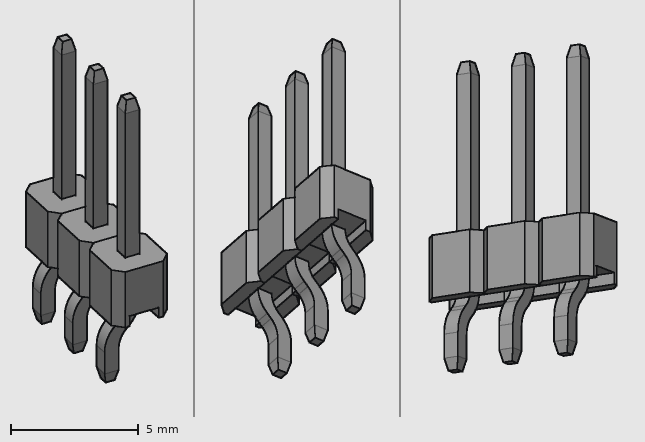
import cadquery as cq
import math

PIN_COUNT = 3
PITCH = 2.54

HOUSING_DEPTH = 2.5
HOUSING_HEIGHT = 2.54
CORNER_CHAMFER = 0.4
SLOT_WIDTH = 1.3
SLOT_HEIGHT = 0.47

OVERALL_HEIGHT = 12.64
PIN_WIDTH = 0.65
TAIL_LENGTH = 3.0
TIP_LENGTH = 0.5
TIP_END_WIDTH = 0.4

BEND_ANGLE = math.radians(45)
BEND_START_Z = SLOT_HEIGHT
BEND_END_Z = -1.52
OUTER_BEND_RADIUS = 1.45

HALF_PIN = PIN_WIDTH / 2
TOP_TIP_BASE_Z = OVERALL_HEIGHT - TAIL_LENGTH - TIP_LENGTH
BOTTOM_TIP_BASE_Z = TIP_LENGTH - TAIL_LENGTH
TAIL_Y = HALF_PIN - HOUSING_DEPTH / 2

SLOPE_DROP = abs(TAIL_Y) / math.tan(BEND_ANGLE)
TANGENT_SUM = BEND_START_Z - BEND_END_Z - SLOPE_DROP
INNER_BEND_RADIUS = TANGENT_SUM / math.tan(BEND_ANGLE / 2) - OUTER_BEND_RADIUS


def make_housing(x):
    """Octagonal block with a slot along X in its underside and a through hole for the pin."""
    block = (
        cq.Workplane("XY")
        .rect(PITCH, HOUSING_DEPTH)
        .extrude(HOUSING_HEIGHT)
        .edges("|Z")
        .chamfer(CORNER_CHAMFER)
    )
    slot = cq.Workplane("XY").rect(PITCH, SLOT_WIDTH).extrude(SLOT_HEIGHT)
    pin_hole = cq.Workplane("XY").rect(PIN_WIDTH, PIN_WIDTH).extrude(HOUSING_HEIGHT)
    return block.cut(slot).cut(pin_hole).translate((x, 0, 0))


def front_bend_points():
    """(Y, Z) ends of the two arcs on the -Y side of the bend, from top to bottom."""
    upper_y = -HALF_PIN
    lower_y = TAIL_Y - HALF_PIN
    outer_end = (lower_y, BEND_END_Z)
    outer_start = (
        lower_y + OUTER_BEND_RADIUS * (1 - math.cos(BEND_ANGLE)),
        BEND_END_Z + OUTER_BEND_RADIUS * math.sin(BEND_ANGLE),
    )
    inner_start = (upper_y, BEND_START_Z)
    inner_end = (
        upper_y - INNER_BEND_RADIUS * (1 - math.cos(BEND_ANGLE)),
        BEND_START_Z - INNER_BEND_RADIUS * math.sin(BEND_ANGLE),
    )
    return inner_start, inner_end, outer_start, outer_end


def opposite(point):
    """The point turned half a turn about the middle of the bend, from the -Y to the +Y side."""
    return (TAIL_Y - point[0], BEND_START_Z + BEND_END_Z - point[1])


def make_shank():
    """Bent length of the pin between its two tips."""
    inner_start, inner_end, outer_start, outer_end = front_bend_points()
    return (
        cq.Workplane("YZ")
        .moveTo(-HALF_PIN, TOP_TIP_BASE_Z)
        .lineTo(*inner_start)
        .tangentArcPoint(inner_end, relative=False)
        .lineTo(*outer_start)
        .tangentArcPoint(outer_end, relative=False)
        .lineTo(TAIL_Y - HALF_PIN, BOTTOM_TIP_BASE_Z)
        .lineTo(TAIL_Y + HALF_PIN, BOTTOM_TIP_BASE_Z)
        .lineTo(*opposite(inner_start))
        .tangentArcPoint(opposite(inner_end), relative=False)
        .lineTo(*opposite(outer_start))
        .tangentArcPoint(opposite(outer_end), relative=False)
        .lineTo(HALF_PIN, TOP_TIP_BASE_Z)
        .close()
        .extrude(HALF_PIN, both=True)
    )


def make_tip(y, base_z, direction):
    """Square tip narrowing to a flat end, pointing up (direction 1) or down (direction -1)."""
    return (
        cq.Workplane("XY", origin=(0, y, base_z))
        .rect(PIN_WIDTH, PIN_WIDTH)
        .workplane(offset=direction * TIP_LENGTH)
        .rect(TIP_END_WIDTH, TIP_END_WIDTH)
        .loft(ruled=True)
    )


def make_pin(x):
    """Bent square pin with a tapered tip at each end."""
    top_tip = make_tip(0, TOP_TIP_BASE_Z, 1)
    bottom_tip = make_tip(TAIL_Y, BOTTOM_TIP_BASE_Z, -1)
    return make_shank().union(top_tip).union(bottom_tip).translate((x, 0, 0))


cell_positions = [(i - (PIN_COUNT - 1) / 2) * PITCH for i in range(PIN_COUNT)]
housings = [make_housing(x) for x in cell_positions]
pins = [make_pin(x) for x in cell_positions]

result = cq.Compound.makeCompound([body.solids().val() for body in housings + pins])